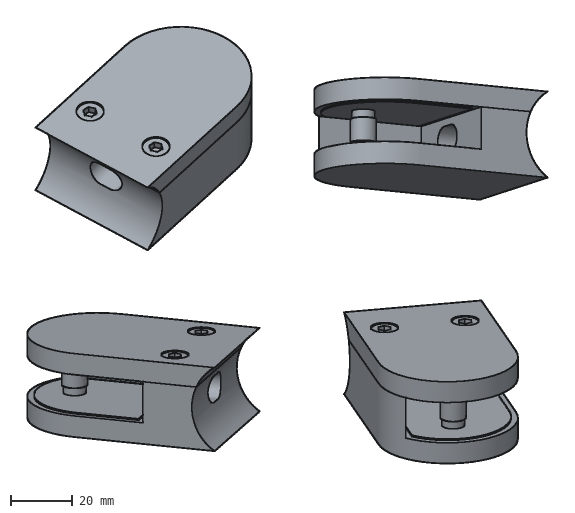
import cadquery as cq
import math


width = 46.0
height = 28.5
nose_radius = width / 2
plate_thickness = 7.25
half_height = height / 2
split_z = half_height - plate_thickness
floor_z = -split_z

post_radius = 16.85
nose_to_saddle = 63.0
saddle_bottom_y = nose_radius - nose_to_saddle
post_axis_y = saddle_bottom_y - post_radius

slot_end_y = -23.2
side_wall_x = 17.5

gasket_thickness = 0.5
gasket_inset = 2.2

pin_y = 8.0
pin_diameter = 7.5
pin_length = 2 * (split_z - gasket_thickness)
collar_diameter = 8.5
collar_length = 7.7

fixing_hole_length = 13.0
fixing_hole_height = 9.0

screw_spacing = 27.0
screw_y = -31.0
head_diameter = 9.0
head_recess = 0.25
head_edge_radius = 0.5
head_height = 5.0
shank_diameter = 5.0
shank_length = 12.0
hex_width = 4.0
hex_depth = 2.3
hex_angle = 20.0

head_top_z = half_height - head_recess
head_seat_z = head_top_z - head_height
hex_corner_diameter = hex_width * 2 / math.sqrt(3)
screw_positions = [(-screw_spacing / 2, screw_y), (screw_spacing / 2, screw_y)]


def saddle_block(bottom_z, top_z):
    """Round-nosed slab between two heights, with the post saddle cut into its -Y end."""
    slab = (
        cq.Workplane("XY", origin=(0, 0, bottom_z))
        .moveTo(-nose_radius, 0)
        .threePointArc((0, nose_radius), (nose_radius, 0))
        .lineTo(nose_radius, post_axis_y)
        .lineTo(-nose_radius, post_axis_y)
        .close()
        .extrude(top_z - bottom_z)
    )
    post = cq.Workplane("YZ").center(post_axis_y, 0).circle(post_radius).extrude(width, both=True)
    return slab.cut(post)


def cylinder(diameter, bottom_z, length, x, y):
    """Upright cylinder standing on bottom_z."""
    return cq.Workplane("XY", origin=(x, y, bottom_z)).circle(diameter / 2).extrude(length)


def slot_area(inset, bottom_z, thickness):
    """Slab shaped like the slot floor, drawn in by inset from every edge."""
    radius = nose_radius - inset
    right_x = side_wall_x - inset
    right_y = math.sqrt(radius ** 2 - right_x ** 2)
    rear_y = slot_end_y + inset
    return (
        cq.Workplane("XY", origin=(0, 0, bottom_z))
        .moveTo(-radius, rear_y)
        .lineTo(-radius, 0)
        .threePointArc((0, radius), (right_x, right_y))
        .lineTo(right_x, rear_y)
        .close()
        .extrude(thickness)
    )


def make_screw(x, y):
    """Hex socket screw with a rounded head edge."""
    head = cylinder(head_diameter, head_seat_z, head_height, x, y).faces(">Z").edges().fillet(head_edge_radius)
    shank = cylinder(shank_diameter, head_seat_z - shank_length, shank_length, x, y)
    socket = (
        cq.Workplane("XY", origin=(x, y, head_top_z - hex_depth))
        .transformed(rotate=(0, 0, hex_angle))
        .polygon(6, hex_corner_diameter)
        .extrude(hex_depth)
    )
    return head.union(shank).cut(socket)


def make_base():
    """Lower plate, web and side wall, with the fixing hole and screw holes."""
    base = saddle_block(-half_height, split_z)
    base = base.cut(slot_area(0, floor_z, split_z - floor_z))
    fixing_hole = (
        cq.Workplane("XZ", origin=(0, slot_end_y, 0))
        .slot2D(fixing_hole_length, fixing_hole_height)
        .extrude(slot_end_y - post_axis_y)
    )
    base = base.cut(fixing_hole)
    for x, y in screw_positions:
        base = base.cut(cylinder(shank_diameter, head_seat_z - shank_length, shank_length, x, y))
    return base


def make_cover():
    """Upper plate with counterbored screw holes."""
    cover = saddle_block(split_z, half_height)
    for x, y in screw_positions:
        cover = cover.cut(cylinder(head_diameter, head_seat_z, half_height - head_seat_z, x, y))
        cover = cover.cut(cylinder(shank_diameter, split_z, head_seat_z - split_z, x, y))
    return cover


def make_pin():
    """Pin standing between the gaskets, with a thicker collar at mid height."""
    core = cylinder(pin_diameter, -pin_length / 2, pin_length, 0, pin_y)
    collar = cylinder(collar_diameter, -collar_length / 2, collar_length, 0, pin_y)
    return core.union(collar)


base = make_base()
cover = make_cover()
pin = make_pin()
gaskets = [
    slot_area(gasket_inset, bottom_z, gasket_thickness)
    for bottom_z in (floor_z, split_z - gasket_thickness)
]
screws = [make_screw(x, y) for x, y in screw_positions]

result = cq.Compound.makeCompound(
    [
        base.val(),
        cover.val(),
        pin.val(),
        *[gasket.val() for gasket in gaskets],
        *[screw.val() for screw in screws],
    ]
)